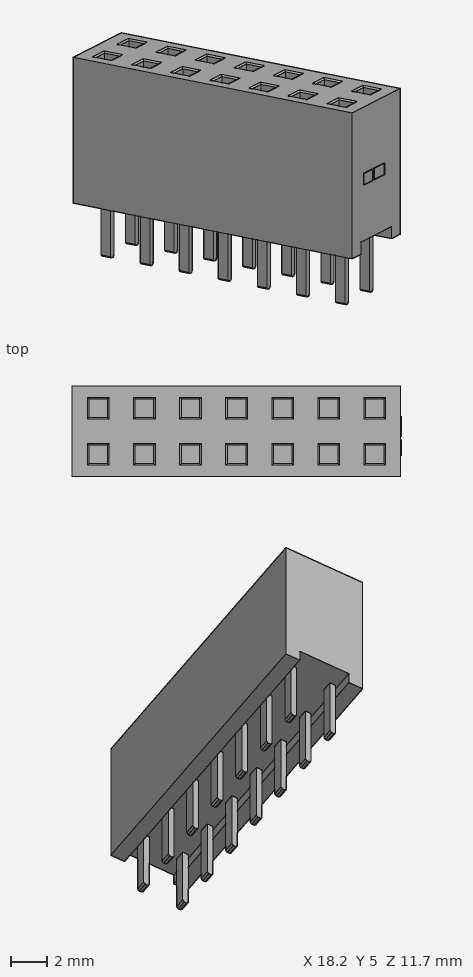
import cadquery as cq

COLUMNS = 7
ROWS = 2
COLUMN_SPAN = 15.25
PITCH = COLUMN_SPAN / (COLUMNS - 1)
GRID_OFFSET_X = 0.02

BODY_LENGTH = 18.14
BODY_DEPTH = 5.0
BODY_HEIGHT = 8.5
CHANNEL_WIDTH = 3.2
CHANNEL_HEIGHT = 0.71

SOCKET_SIZE = 1.02
SOCKET_DEPTH = 6.0
LEAD_IN_SIZE = 1.2
LEAD_IN_DEPTH = (LEAD_IN_SIZE - SOCKET_SIZE) / 2

PIN_WIDTH = 0.64
PIN_THICKNESS = 0.36
PIN_LENGTH = 3.2
PIN_TIP_HEIGHT = 0.1
PIN_TIP_THICKNESS = PIN_THICKNESS - 2 * PIN_TIP_HEIGHT

PAD_PROJECTION = 0.05
PAD_HEIGHT = 0.67
PAD_CENTRE_Z = 4.31
PAD_SPANS_Y = ((-1.35, -0.47), (-0.3, 0.8))


def make_housing():
    """Block with a channel along its underside, open at both ends."""
    block = cq.Workplane("XY").rect(BODY_LENGTH, BODY_DEPTH).extrude(BODY_HEIGHT)
    channel = cq.Workplane("XY").rect(BODY_LENGTH, CHANNEL_WIDTH).extrude(CHANNEL_HEIGHT)
    return block.cut(channel)


def make_socket():
    """Square blind hole with a tapered lead-in, cut down from the top face."""
    top = cq.Workplane("XY").workplane(offset=BODY_HEIGHT)
    hole = top.rect(SOCKET_SIZE, SOCKET_SIZE).extrude(-SOCKET_DEPTH)
    lead_in = (
        top.rect(LEAD_IN_SIZE, LEAD_IN_SIZE)
        .workplane(offset=-LEAD_IN_DEPTH)
        .rect(SOCKET_SIZE, SOCKET_SIZE)
        .loft()
    )
    return hole.union(lead_in)


def make_pin():
    """Flat pin from the channel roof down, its tip tapered across the thickness."""
    half_thickness = PIN_THICKNESS / 2
    half_tip = PIN_TIP_THICKNESS / 2
    taper_start = PIN_TIP_HEIGHT - PIN_LENGTH
    profile = [
        (-half_thickness, CHANNEL_HEIGHT),
        (-half_thickness, taper_start),
        (-half_tip, -PIN_LENGTH),
        (half_tip, -PIN_LENGTH),
        (half_thickness, taper_start),
        (half_thickness, CHANNEL_HEIGHT),
    ]
    return cq.Workplane("YZ").polyline(profile).close().extrude(PIN_WIDTH / 2, both=True)


def make_pad(start_y, end_y):
    """Thin rectangular pad on the +X end face."""
    pad = cq.Workplane("XY").box(PAD_PROJECTION, end_y - start_y, PAD_HEIGHT, centered=(False, False, True))
    return pad.translate((BODY_LENGTH / 2, start_y, PAD_CENTRE_Z))


result = make_housing()
socket = make_socket()
pin = make_pin()
for column in range(COLUMNS):
    for row in range(ROWS):
        x = GRID_OFFSET_X + (column - (COLUMNS - 1) / 2) * PITCH
        y = (row - (ROWS - 1) / 2) * PITCH
        position = (x, y, 0)
        result = result.cut(socket.translate(position)).union(pin.translate(position))

for start_y, end_y in PAD_SPANS_Y:
    result = result.union(make_pad(start_y, end_y))